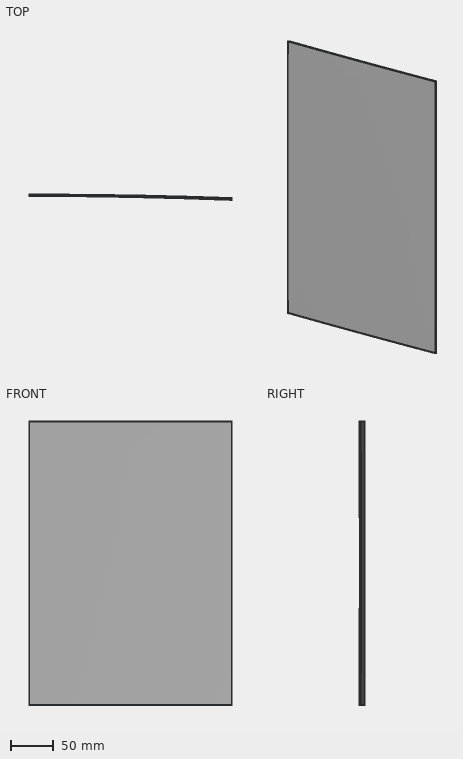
import math

import cadquery as cq

LENGTH_X = 236.42
HEIGHT_Z = 331.0
OVERALL_Y = 6.72
THICKNESS = 2.0
CREST_RADIUS = 762.0
BLANK_MARGIN = 20.0

corner_radius = math.hypot(CREST_RADIUS + LENGTH_X, HEIGHT_Z / 2)
corner_run = corner_radius - CREST_RADIUS
corner_drop = OVERALL_Y - THICKNESS
profile_radius = (corner_run**2 + corner_drop**2) / (2 * corner_drop)

blank_start = CREST_RADIUS - BLANK_MARGIN
blank_end = corner_radius + BLANK_MARGIN
blank_angle = 2 * math.degrees(math.atan2(HEIGHT_Z / 2 + BLANK_MARGIN, blank_start))


def back_point(radius):
    """Point of the back face's arc at a distance from the dome axis."""
    offset = radius - CREST_RADIUS
    return radius, math.sqrt(profile_radius**2 - offset**2) - profile_radius


def front_point(radius):
    """Point of the front face, one thickness in -Y of the back face."""
    x, y = back_point(radius)
    return x, y - THICKNESS


def make_dome_blank():
    """Strip of the dome, revolved about Y and centred on the XY plane."""
    blank_middle = (blank_start + blank_end) / 2
    profile = (
        cq.Workplane("XY")
        .moveTo(*back_point(blank_start))
        .threePointArc(back_point(blank_middle), back_point(blank_end))
        .lineTo(*front_point(blank_end))
        .threePointArc(front_point(blank_middle), front_point(blank_start))
        .close()
    )
    blank = profile.revolve(blank_angle, (0, 0, 0), (0, 1, 0))
    return blank.rotate((0, 0, 0), (0, 1, 0), -blank_angle / 2)


def make_trim_box():
    """Box with the sheet's rectangular outline, deep enough in Y to hold the whole dome."""
    sheet_centre_x = CREST_RADIUS + LENGTH_X / 2
    trim_depth = 4 * OVERALL_Y
    return cq.Workplane("XY").box(LENGTH_X, trim_depth, HEIGHT_Z).translate((sheet_centre_x, 0, 0))


sheet = make_dome_blank().intersect(make_trim_box())

result = sheet.translate((-CREST_RADIUS - LENGTH_X / 2, OVERALL_Y / 2, 0))